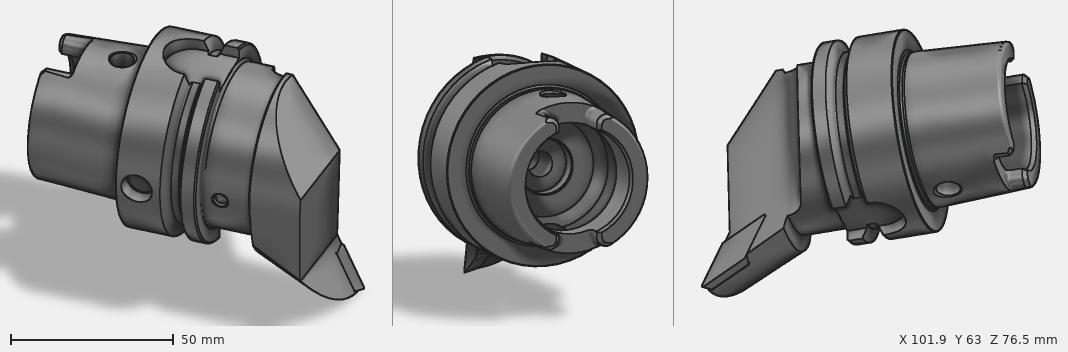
import cadquery as cq
import math


shank_length = 32.0
shank_gauge_radius = 24.0
shank_gauge_x = -6.3
shank_slope = 1 / 20
shank_tip_round = 1.1
relief_start_x = -1.8
relief_bottom_x = -1.0
relief_end_x = -0.3
relief_radius = 23.9
relief_mouth_radius = 25.2
relief_step_radius = 24.4

flange_radius = 31.5
flange_length = 26.0
face_chamfer = 0.25
flange_chamfer = 0.5
groove_start_x = 14.5
groove_end_x = 21.25
groove_floor_start_x = 16.1
groove_floor_end_x = 19.75
groove_floor_radius = 27.5
groove_corner = 0.6
groove_wall_radius = groove_floor_radius + groove_corner

neck_radius = 26.0
neck_fillet = 0.9
flare_x = 41.5
head_radius = 27.3
head_start_x = 42.2
head_stock_x = 66.0

bore_radius = 17.0
bore_chamfer = 0.6
bore_chamfer_length = 1.5
undercut_x = -19.0
undercut_radius = 18.5
bore_floor_x = -2.3
bore_floor_radius = 15.6
bore_floor_cone_length = 5.0
recess_radius = 8.5
recess_chamfer = 0.4
recess_depth = 5.0
drill_radius = 4.0
drill_depth = 12.0
drill_point_angle = math.radians(118)
drill_point_depth = drill_radius / math.tan(drill_point_angle / 2)

notch_half_width = 6.15
notch_wall_height = 17.4
notch_mouth_round = 3.2
notch_depths = {0: 10.3, 180: 6.2}
notch_corner = 1.3
notch_entry_chamfer = 1.3

keyway_width = 18.0
keyway_floor = 26.5
keyway_start_x = 5.0

clamp_hole_x = -8.9
clamp_hole_radius = 3.75
clamp_hole_chamfer = 0.6
chip_hole_x = 6.9
chip_hole_radius = 5.0
chip_hole_depth = 5.4
chip_hole_floor_chamfer = 0.25

ball_x = 32.1
ball_z = -2.2
ball_radius = 2.3
socket_depth = 5.2
socket_chamfer = 0.4
socket_lip = 0.2

insert_reach_x = 69.91
insert_reach_z = -45.0
insert_corner_angle = 35.0
insert_edge_length = 16.6
insert_thickness = 4.76
insert_clearance = 7.0
insert_nose = 0.4
insert_bisector = 135.0
nose_setback = insert_nose * (
    -math.cos(math.radians(insert_bisector)) / math.sin(math.radians(insert_corner_angle / 2)) - 1
)
tip_x = insert_reach_x + nose_setback
tip_z = insert_reach_z - nose_setback

rake_slope = 0.065
rake_plane = cq.Plane(
    origin=(tip_x, 0, tip_z),
    xDir=(1, -rake_slope, 0),
    normal=(-rake_slope, -1, rake_slope),
)
rake_section = cq.Plane(
    origin=(tip_x, 0, tip_z),
    xDir=(1, -rake_slope, 0),
    normal=(rake_slope**2, rake_slope, 1 + rake_slope**2),
)
side_wall_foot = -33.5
side_wall_angle = math.radians(18.5)
side_wall_fillet = 6.0
side_wall_height = 60.0

end_face_x = 60.4
slant_end_z = 3.55
slant_angle = math.radians(54.7)

arm_back_angle = math.radians(15)
arm_cone_start = (32.3, -1.0, -24.5)
arm_cone_radius = 31.9
arm_cone_length = 60.0
arm_cone_half_angle = math.radians(6.8)
arm_bottom_angle = math.radians(28)

clear = 100.0
slant_rise = 60.0


def shank_radius(x):
    return shank_gauge_radius + (x - shank_gauge_x) * shank_slope


def direction(angle, length):
    return length * math.cos(math.radians(angle)), length * math.sin(math.radians(angle))


def make_turned_body():
    tip_radius = shank_radius(-shank_length)
    round_end_x = -shank_length + shank_tip_round
    round_mid = shank_tip_round * (1 - math.sqrt(0.5))
    neck_mid = neck_fillet * (1 - math.sqrt(0.5))
    return (
        cq.Workplane("XY")
        .moveTo(-shank_length, 0)
        .lineTo(-shank_length, tip_radius - shank_tip_round)
        .threePointArc(
            (-shank_length + round_mid, tip_radius - round_mid),
            (round_end_x, shank_radius(round_end_x)),
        )
        .lineTo(relief_start_x, shank_radius(relief_start_x))
        .lineTo(relief_bottom_x, relief_radius)
        .lineTo(relief_end_x, relief_step_radius)
        .lineTo(0, relief_mouth_radius)
        .lineTo(0, flange_radius - face_chamfer)
        .lineTo(face_chamfer, flange_radius)
        .lineTo(groove_start_x, flange_radius)
        .lineTo(groove_floor_start_x, groove_wall_radius)
        .radiusArc((groove_floor_start_x + groove_corner, groove_floor_radius), -groove_corner)
        .lineTo(groove_floor_end_x - groove_corner, groove_floor_radius)
        .radiusArc((groove_floor_end_x, groove_wall_radius), -groove_corner)
        .lineTo(groove_end_x, flange_radius)
        .lineTo(flange_length - flange_chamfer, flange_radius)
        .lineTo(flange_length, flange_radius - flange_chamfer)
        .lineTo(flange_length, neck_radius + neck_fillet)
        .threePointArc(
            (flange_length + neck_mid, neck_radius + neck_mid),
            (flange_length + neck_fillet, neck_radius),
        )
        .lineTo(flare_x, neck_radius)
        .lineTo(head_start_x, head_radius)
        .lineTo(head_stock_x, head_radius)
        .lineTo(head_stock_x, 0)
        .close()
        .revolve(360, (0, 0, 0), (1, 0, 0))
    )


def make_arm():
    """Arm below the head: flat on -Y, conical behind and underneath."""
    axis_angle = arm_bottom_angle - arm_cone_half_angle
    start_x, start_y, start_z = arm_cone_start
    underside = cq.Workplane(
        cq.Solid.makeCone(
            arm_cone_radius,
            arm_cone_radius + arm_cone_length * math.tan(arm_cone_half_angle),
            arm_cone_length,
            cq.Vector(
                start_x + arm_cone_radius * math.sin(axis_angle),
                start_y,
                start_z + arm_cone_radius * math.cos(axis_angle),
            ),
            cq.Vector(math.cos(axis_angle), 0, -math.sin(axis_angle)),
        )
    )
    back_x = head_start_x + (clear - head_radius) * math.tan(arm_back_angle)
    behind = (
        cq.Workplane("XY")
        .polyline([
            (head_start_x, 0),
            (head_start_x, head_radius),
            (back_x, clear),
            (clear, clear),
            (clear, 0),
        ])
        .close()
        .revolve(360, (0, 0, 0), (1, 0, 0))
    )
    lower_side = (
        cq.Workplane("XY")
        .box(clear, clear, clear, centered=(False, False, False))
        .translate((0, -head_radius, -clear))
    )
    return underside.intersect(behind).intersect(lower_side)


def make_head_outline():
    """Prism square to the rake plane: slanted top, end face and front of the arm."""
    end_a = end_face_x - tip_x
    slant_b = slant_end_z - tip_z
    arm_angle = insert_bisector - insert_corner_angle / 2
    arm_step = insert_thickness * math.tan(math.radians(insert_clearance))
    arm_foot = -arm_step / math.sin(math.radians(arm_angle))
    arm_top_b = (end_a - arm_foot) * math.tan(math.radians(arm_angle))
    drop_a, drop_b = direction(arm_angle, -clear)
    return (
        cq.Workplane(rake_plane)
        .polyline([
            (-2 * clear, clear + slant_rise),
            (end_a - slant_rise / math.tan(slant_angle), clear + slant_rise),
            (end_a - slant_rise / math.tan(slant_angle), slant_b + slant_rise),
            (end_a, slant_b),
            (end_a, arm_top_b),
            (arm_foot + drop_a, drop_b),
            (-2 * clear, drop_b),
        ])
        .close()
        .extrude(clear, both=True)
    )


def make_side_cut():
    """Space on the +Y side of the head: rake plane, fillet and sloping wall."""
    tangent = side_wall_fillet * math.tan((math.pi / 2 - side_wall_angle) / 2)
    return (
        cq.Workplane(rake_section)
        .moveTo(clear, 0)
        .lineTo(side_wall_foot + tangent, 0)
        .radiusArc(
            (
                side_wall_foot - tangent * math.sin(side_wall_angle),
                tangent * math.cos(side_wall_angle),
            ),
            side_wall_fillet,
        )
        .lineTo(side_wall_foot - side_wall_height * math.tan(side_wall_angle), side_wall_height)
        .lineTo(clear, side_wall_height)
        .close()
        .extrude(clear, both=True)
    )


def make_bore():
    entry_x = -shank_length
    recess_x = bore_floor_x + recess_depth
    drill_x = recess_x + drill_depth
    return (
        cq.Workplane("XY")
        .moveTo(entry_x, 0)
        .lineTo(entry_x, bore_radius + bore_chamfer)
        .lineTo(entry_x + bore_chamfer_length, bore_radius)
        .lineTo(undercut_x, bore_radius)
        .lineTo(undercut_x, undercut_radius)
        .lineTo(bore_floor_x - bore_floor_cone_length, undercut_radius)
        .lineTo(bore_floor_x, bore_floor_radius)
        .lineTo(bore_floor_x, recess_radius + recess_chamfer)
        .lineTo(bore_floor_x + recess_chamfer, recess_radius)
        .lineTo(recess_x, recess_radius)
        .lineTo(recess_x, drill_radius)
        .lineTo(drill_x, drill_radius)
        .lineTo(drill_x + drill_point_depth, 0)
        .close()
        .revolve(360, (0, 0, 0), (1, 0, 0))
    )


def notch_section(growth):
    """Notch section on the shank end face, widened all round by growth."""
    half_width = notch_half_width + growth
    mouth_round = notch_mouth_round - growth
    flat_y = half_width + mouth_round
    flat_z = notch_wall_height + mouth_round
    return (
        cq.Workplane("YZ", origin=(-shank_length, 0, 0))
        .moveTo(-half_width, 0)
        .lineTo(-half_width, notch_wall_height)
        .radiusArc((-flat_y, flat_z), -mouth_round)
        .lineTo(-shank_gauge_radius, flat_z)
        .lineTo(-shank_gauge_radius, flange_radius)
        .lineTo(shank_gauge_radius, flange_radius)
        .lineTo(shank_gauge_radius, flat_z)
        .lineTo(flat_y, flat_z)
        .radiusArc((half_width, notch_wall_height), -mouth_round)
        .lineTo(half_width, 0)
        .close()
    )


def make_notch(depth, turn):
    slot = notch_section(0).extrude(depth).faces(">X").edges().fillet(notch_corner)
    entry = notch_section(notch_entry_chamfer).extrude(notch_entry_chamfer, taper=45)
    return slot.union(entry).rotate((0, 0, 0), (1, 0, 0), turn)


def make_keyway(side):
    round_radius = keyway_width / 2
    straight_x = keyway_start_x + round_radius
    return (
        cq.Workplane("XY", origin=(0, 0, side * keyway_floor))
        .moveTo(straight_x, -round_radius)
        .threePointArc((keyway_start_x, 0), (straight_x, round_radius))
        .lineTo(flange_length, round_radius)
        .lineTo(flange_length, -round_radius)
        .close()
        .extrude(side * flange_radius)
    )


def make_clamp_hole():
    """Hole across both shank walls, chamfered at each outer mouth."""
    hole = cq.Workplane("XY", origin=(clamp_hole_x, 0, 0)).circle(clamp_hole_radius)
    hole = hole.extrude(flange_radius, both=True)
    mouth_z = shank_radius(clamp_hole_x) - clamp_hole_chamfer
    mouth_growth = 2 * clamp_hole_chamfer
    for side in (1, -1):
        mouth = cq.Solid.makeCone(
            clamp_hole_radius,
            clamp_hole_radius + mouth_growth,
            mouth_growth,
            cq.Vector(clamp_hole_x, 0, side * mouth_z),
            cq.Vector(0, 0, side),
        )
        hole = hole.union(cq.Workplane(mouth))
    return hole


def make_chip_hole():
    """Blind hole into the -Y side of the flange with a small chamfer round its floor."""
    hole = cq.Solid.makeCylinder(
        chip_hole_radius,
        chip_hole_depth,
        cq.Vector(chip_hole_x, -flange_radius, 0),
        cq.Vector(0, 1, 0),
    )
    return cq.Workplane(hole).faces(">Y").chamfer(chip_hole_floor_chamfer)


def make_ball_socket():
    """Round-bottomed hole with a chamfered mouth on the -Y side of the neck."""
    mouth_y = -neck_radius
    return (
        cq.Workplane("XY", origin=(ball_x, 0, ball_z))
        .moveTo(0, mouth_y)
        .lineTo(ball_radius + socket_chamfer, mouth_y)
        .lineTo(ball_radius + socket_chamfer, mouth_y + socket_lip)
        .lineTo(ball_radius, mouth_y + socket_lip + socket_chamfer)
        .lineTo(ball_radius, mouth_y + socket_depth - ball_radius)
        .radiusArc((0, mouth_y + socket_depth), -ball_radius)
        .close()
        .revolve(360, (0, 0, 0), (0, 1, 0))
    )


def make_ball():
    center_y = -neck_radius + socket_depth - ball_radius
    return cq.Workplane("XY").sphere(ball_radius).translate((ball_x, center_y, ball_z))


def make_insert():
    """Rhombic insert with its sharp corner at the tip and its top on the rake plane."""
    first = direction(insert_bisector - insert_corner_angle / 2, insert_edge_length)
    second = direction(insert_bisector + insert_corner_angle / 2, insert_edge_length)
    opposite = (first[0] + second[0], first[1] + second[1])
    blank = (
        cq.Workplane("XY")
        .polyline([(0, 0), first, opposite, second])
        .close()
        .extrude(insert_thickness, taper=insert_clearance)
        .edges("not #Z")
        .fillet(insert_nose)
    )
    return cq.Workplane(blank.val().moved(cq.Location(rake_plane)))


def make_holder(insert):
    body = make_turned_body().union(make_arm())
    body = body.intersect(make_head_outline()).cut(make_side_cut())
    body = body.cut(make_bore())
    for turn, depth in notch_depths.items():
        body = body.cut(make_notch(depth, turn))
    for side in (1, -1):
        body = body.cut(make_keyway(side))
    body = body.cut(make_clamp_hole()).cut(make_chip_hole()).cut(make_ball_socket())
    return body.cut(insert)


insert = make_insert()
ball = make_ball()
holder = make_holder(insert)

bodies = [holder, insert, ball]
result = cq.Compound.makeCompound([body.solids().val() for body in bodies])